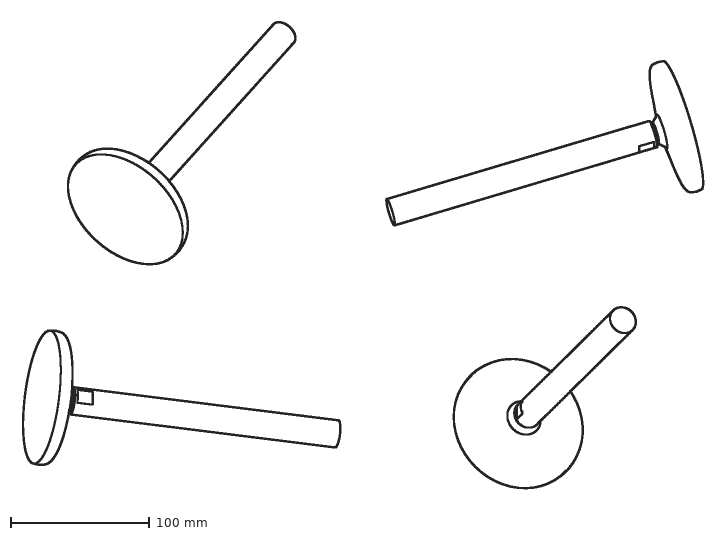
import cadquery as cq
import math

TOTAL_LENGTH = 222.0
FOOT_DIAMETER = 98.0
STEM_DIAMETER = 20.0
underside_y = -TOTAL_LENGTH / 2
stem_top_y = TOTAL_LENGTH / 2
foot_radius = FOOT_DIAMETER / 2
stem_radius = STEM_DIAMETER / 2

RIM_INSET = 0.5
RIM_WIDEST_HEIGHT = 4.0
RIM_TOP_HEIGHT = 6.7
SHOULDER_HEIGHT = 9.8
SHOULDER_INSET = 3.5
HUB_BASE_HEIGHT = 15.5
HUB_BASE_RADIUS = 12.9
HUB_WAIST_HEIGHT = 16.5
HUB_WAIST_RADIUS = 11.5
HUB_TOP_HEIGHT = 20.2
HUB_TOP_RADIUS = 8.0
rim_radius = foot_radius - RIM_INSET
shoulder_radius = rim_radius - SHOULDER_INSET

SHAFT_START_HEIGHT = 22.2
NECK_TOP_RADIUS = 7.3
NECK_RADIUS = 6.5
NECK_HEIGHT = 21.5
LIP_RADIUS = 8.7
LIP_HEIGHT = 21.0

FLATS_WIDTH = 17.0
FLATS_LENGTH = 11.5
FLATS_START_HEIGHT = 24.2


def revolve_about_y(profile):
    return profile.close().revolve(360, (0, 0, 0), (0, 1, 0))


def make_foot():
    edge_run = rim_radius - shoulder_radius
    edge_rise = SHOULDER_HEIGHT - RIM_TOP_HEIGHT
    diagonal = math.sqrt(0.5)
    shoulder_middle = (
        shoulder_radius + edge_run * diagonal,
        underside_y + RIM_TOP_HEIGHT + edge_rise * diagonal,
    )
    profile = (
        cq.Workplane("XY")
        .moveTo(0, underside_y)
        .lineTo(rim_radius, underside_y)
        .lineTo(foot_radius, underside_y + RIM_WIDEST_HEIGHT)
        .lineTo(rim_radius, underside_y + RIM_TOP_HEIGHT)
        .threePointArc(shoulder_middle, (shoulder_radius, underside_y + SHOULDER_HEIGHT))
        .lineTo(HUB_BASE_RADIUS, underside_y + HUB_BASE_HEIGHT)
        .lineTo(HUB_WAIST_RADIUS, underside_y + HUB_WAIST_HEIGHT)
        .lineTo(HUB_TOP_RADIUS, underside_y + HUB_TOP_HEIGHT)
        .lineTo(0, underside_y + HUB_TOP_HEIGHT)
    )
    return revolve_about_y(profile)


def cut_wrench_flats(stem):
    flats_middle_y = underside_y + FLATS_START_HEIGHT + FLATS_LENGTH / 2
    shaft_section = cq.Workplane("XY").box(STEM_DIAMETER, FLATS_LENGTH, STEM_DIAMETER)
    kept_section = cq.Workplane("XY").box(FLATS_WIDTH, FLATS_LENGTH, STEM_DIAMETER)
    return stem.cut(shaft_section.cut(kept_section).translate((0, flats_middle_y, 0)))


def make_stem():
    profile = (
        cq.Workplane("XY")
        .moveTo(0, underside_y + HUB_TOP_HEIGHT)
        .lineTo(HUB_TOP_RADIUS, underside_y + HUB_TOP_HEIGHT)
        .lineTo(LIP_RADIUS, underside_y + LIP_HEIGHT)
        .lineTo(NECK_RADIUS, underside_y + NECK_HEIGHT)
        .lineTo(NECK_TOP_RADIUS, underside_y + SHAFT_START_HEIGHT)
        .lineTo(stem_radius, underside_y + SHAFT_START_HEIGHT)
        .lineTo(stem_radius, stem_top_y)
        .lineTo(0, stem_top_y)
    )
    return cut_wrench_flats(revolve_about_y(profile))


foot = make_foot()
stem = make_stem()
result = cq.Compound.makeCompound([foot.val(), stem.val()])